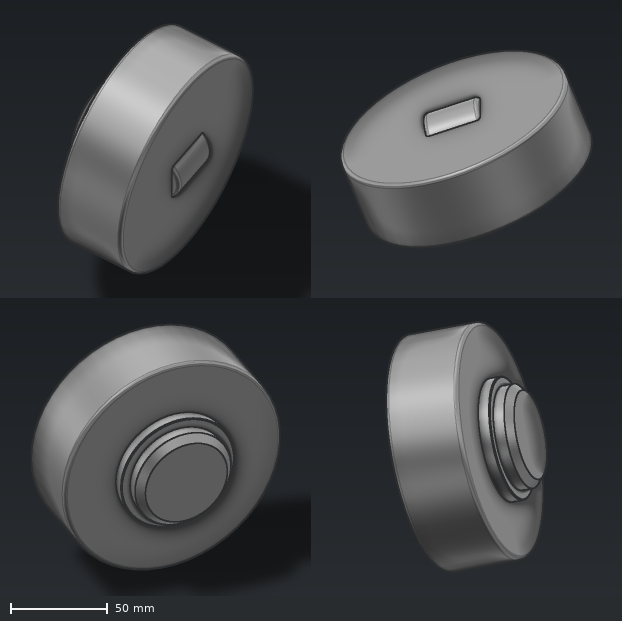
import cadquery as cq

overall_length = 61.0

wheel_diameter = 125.0
wheel_width = 40.0
wheel_edge_radius = 2.0

collar_diameter = 65.0
collar_length = 6.4
collar_edge_chamfer = 0.5

stub_diameter = 55.0
stub_length = 10.0
stub_chamfer = 4.0

roller_diameter = 38.0
roller_length = 30.0
roller_edge_radius = 2.0

collar_start = stub_length
wheel_start = collar_start + collar_length
roller_axis_x = overall_length - roller_diameter / 2


def disc_along_x(start, diameter, length):
    """Cylinder centred on the X axis, running from start towards +X."""
    return cq.Workplane("YZ").workplane(offset=start).circle(diameter / 2).extrude(length)


def make_wheel():
    wheel = disc_along_x(wheel_start, wheel_diameter, wheel_width)
    return wheel.edges("%CIRCLE").fillet(wheel_edge_radius)


def make_collar():
    collar = disc_along_x(collar_start, collar_diameter, collar_length)
    return collar.faces("<X").edges().chamfer(collar_edge_chamfer)


def make_stub():
    stub = disc_along_x(0, stub_diameter, stub_length)
    return stub.faces("<X").edges().chamfer(stub_chamfer)


def make_roller():
    roller = (
        cq.Workplane("XZ")
        .center(roller_axis_x, 0)
        .circle(roller_diameter / 2)
        .extrude(roller_length / 2, both=True)
    )
    return roller.edges("%CIRCLE").fillet(roller_edge_radius)


result = make_wheel().union(make_collar()).union(make_stub()).union(make_roller())